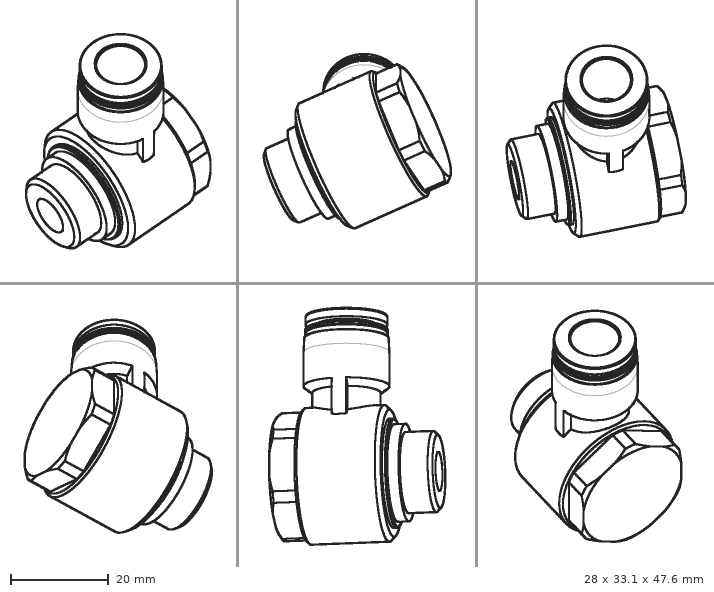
import cadquery as cq
import math


hex_end_y = 13.9
hex_chamfer_length = 0.75
body_rear_y = 8.4
body_front_y = -9.4
seal_front_y = -10.3
collar_front_y = -12.6
stem_front_y = -19.2

body_diameter = 28.0
body_rear_chamfer = 0.55
body_front_chamfer = 1.0
seal_diameter = 22.4
seal_chamfer_length = 0.3
seal_chamfer_depth = 0.2
collar_diameter = 20.0
stem_diameter = 16.66
stem_chamfer = 0.85

hex_sides = 6
hex_across_flats = 24.0
hex_corner_diameter = 26.4
hex_end_diameter = 24.3

neck_top_z = 17.1
sleeve_base_z = 18.5
taper_base_z = 25.6
taper_top_z = 28.6
groove_base_z = 29.63
groove_top_z = 29.78
sleeve_top_z = 30.5
button_base_z = 31.35
button_rim_z = 33.15
port_top_z = 33.6

neck_diameter = 14.0
sleeve_diameter = 17.6
taper_top_diameter = 17.3
sleeve_ring_diameter = 16.9
sleeve_top_chamfer = 0.25
groove_depth = 0.1
release_neck_diameter = 12.0
button_diameter = 16.8
button_chamfer_height = 0.25
button_chamfer_depth = 0.15

rib_width = 3.0

bore_diameter = 8.0
tube_diameter = 10.0
tube_entry_chamfer = 0.3
tube_stop_z = neck_top_z


def turned_along_y(profile):
    """Revolve a closed (radius, y) profile about the Y axis."""
    return cq.Workplane("XY").polyline(profile).close().revolve(360, (0, 0, 0), (0, 1, 0))


def turned_along_z(profile):
    """Revolve a closed (radius, z) profile about the Z axis."""
    return cq.Workplane("XZ").polyline(profile).close().revolve(360, (0, 0, 0), (0, 1, 0))


def make_body_and_stem():
    body_radius = body_diameter / 2
    seal_radius = seal_diameter / 2
    collar_radius = collar_diameter / 2
    stem_radius = stem_diameter / 2
    return turned_along_y([
        (0, body_rear_y),
        (body_radius - body_rear_chamfer, body_rear_y),
        (body_radius, body_rear_y - body_rear_chamfer),
        (body_radius, body_front_y + body_front_chamfer),
        (body_radius - body_front_chamfer, body_front_y),
        (seal_radius, body_front_y),
        (seal_radius, seal_front_y + seal_chamfer_length),
        (seal_radius - seal_chamfer_depth, seal_front_y),
        (collar_radius, seal_front_y),
        (collar_radius, collar_front_y),
        (stem_radius, collar_front_y),
        (stem_radius, stem_front_y + stem_chamfer),
        (stem_radius - stem_chamfer, stem_front_y),
        (0, stem_front_y),
    ])


def make_hex_head():
    """Hexagon with flats facing +X and -X, its corners turned down and its end chamfered."""
    corner_radius = hex_corner_diameter / 2
    half_facet_angle = 180 / hex_sides
    prism = (
        cq.Workplane("XZ", origin=(0, hex_end_y, 0))
        .transformed(rotate=(0, 0, half_facet_angle))
        .polygon(hex_sides, hex_across_flats / math.cos(math.radians(half_facet_angle)))
        .extrude(hex_end_y)
    )
    turned_envelope = turned_along_y([
        (0, 0),
        (corner_radius, 0),
        (corner_radius, hex_end_y - hex_chamfer_length),
        (hex_end_diameter / 2, hex_end_y),
        (0, hex_end_y),
    ])
    return prism.intersect(turned_envelope)


def make_tube_port():
    sleeve_radius = sleeve_diameter / 2
    ring_radius = sleeve_ring_diameter / 2
    release_radius = release_neck_diameter / 2
    button_radius = button_diameter / 2
    return turned_along_z([
        (0, 0),
        (neck_diameter / 2, 0),
        (neck_diameter / 2, neck_top_z),
        (sleeve_radius, sleeve_base_z),
        (sleeve_radius, taper_base_z),
        (taper_top_diameter / 2, taper_top_z),
        (ring_radius, taper_top_z),
        (ring_radius, groove_base_z),
        (ring_radius - groove_depth, groove_base_z),
        (ring_radius - groove_depth, groove_top_z),
        (ring_radius, groove_top_z),
        (ring_radius, sleeve_top_z - sleeve_top_chamfer),
        (ring_radius - sleeve_top_chamfer, sleeve_top_z),
        (release_radius, sleeve_top_z),
        (release_radius, button_base_z),
        (button_radius, button_base_z),
        (button_radius, button_rim_z - button_chamfer_height),
        (button_radius - button_chamfer_depth, button_rim_z),
        (tube_diameter / 2 + tube_entry_chamfer, port_top_z),
        (0, port_top_z),
    ])


def make_ribs():
    """A thin plate through the port axis, rounded to lie flush with the sleeve."""
    plate = cq.Workplane("XY").rect(sleeve_diameter, rib_width).extrude(sleeve_base_z)
    sleeve_envelope = cq.Workplane("XY").circle(sleeve_diameter / 2).extrude(sleeve_base_z)
    return plate.intersect(sleeve_envelope)


def make_passages():
    """Elbow bore with a spherical corner, opening into the tube socket."""
    bore_radius = bore_diameter / 2
    tube_radius = tube_diameter / 2
    stem_bore = cq.Workplane("XZ").circle(bore_radius).extrude(-stem_front_y)
    elbow = cq.Workplane("XY").sphere(bore_radius)
    port_bore = turned_along_z([
        (0, 0),
        (bore_radius, 0),
        (bore_radius, tube_stop_z),
        (tube_radius, tube_stop_z),
        (tube_radius, port_top_z - tube_entry_chamfer),
        (tube_radius + tube_entry_chamfer, port_top_z),
        (0, port_top_z),
    ])
    return stem_bore.union(elbow).union(port_bore)


fitting = make_body_and_stem().union(make_hex_head()).union(make_tube_port()).union(make_ribs())
result = fitting.cut(make_passages())